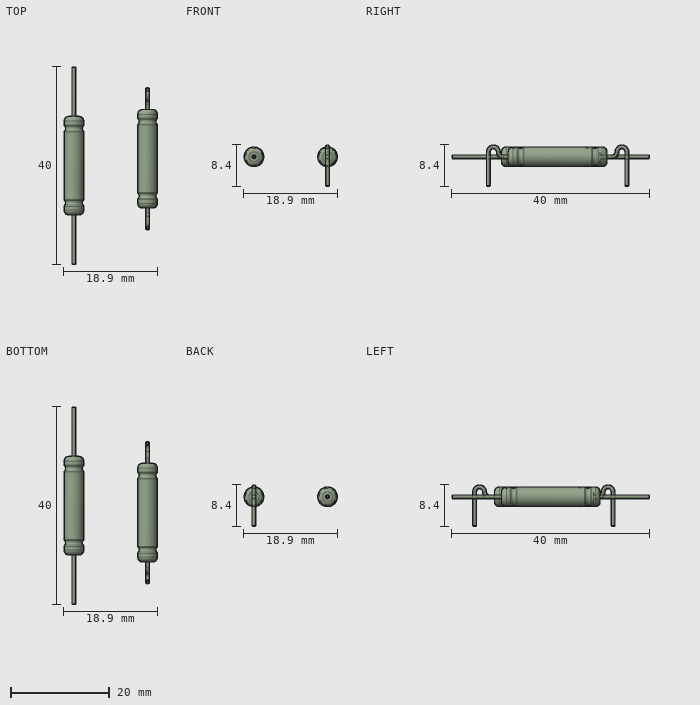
import cadquery as cq
import math

COMPONENT_SPACING = 14.9
BENT_OFFSET_Y = 1.4

BODY_LENGTH = 20.0
BODY_RADIUS = 2.0
END_ROUND = 1.0
GROOVE_FROM_END = 2.5
GROOVE_DEPTH = 0.3
GROOVE_HALF_WIDTH = 0.55
GROOVE_ROUND = 0.35
RIM_SEARCH_MARGIN = 0.05

WIRE_RADIUS = 0.4
TIP_CHAMFER = 0.15
STRAIGHT_LEAD_LENGTH = 10.0

BEND_RADIUS = 1.0
STUB_LENGTH = 1.0
LEG_BOTTOM_Z = -6.0

HALF_LENGTH = BODY_LENGTH / 2
ENDS = (1, -1)


def make_body():
    """Body of revolution about Y, centred on the origin."""
    groove_y = HALF_LENGTH - GROOVE_FROM_END
    groove_bottom = BODY_RADIUS - GROOVE_DEPTH
    cylinder = cq.Workplane("XZ").circle(BODY_RADIUS).extrude(HALF_LENGTH, both=True)
    body = cylinder.faces("<Y or >Y").edges().fillet(END_ROUND)
    for end in ENDS:
        groove = (
            cq.Workplane("XY")
            .moveTo(BODY_RADIUS, end * groove_y - GROOVE_HALF_WIDTH)
            .threePointArc(
                (groove_bottom, end * groove_y),
                (BODY_RADIUS, end * groove_y + GROOVE_HALF_WIDTH),
            )
            .close()
            .revolve(360, (0, 0, 0), (0, 1, 0))
        )
        body = body.cut(groove)
    for end in ENDS:
        for side in ENDS:
            rim_y = end * groove_y + side * GROOVE_HALF_WIDTH
            rim = cq.selectors.BoxSelector(
                (-2 * BODY_RADIUS, rim_y - RIM_SEARCH_MARGIN, -2 * BODY_RADIUS),
                (2 * BODY_RADIUS, rim_y + RIM_SEARCH_MARGIN, 2 * BODY_RADIUS),
                boundingbox=True,
            )
            body = body.edges(rim).fillet(GROOVE_ROUND)
    return body


def make_straight_lead(end):
    """Straight wire that leaves the body face along Y; end is +1 or -1."""
    wire = (
        cq.Workplane("XZ", origin=(0, HALF_LENGTH, 0))
        .circle(WIRE_RADIUS)
        .extrude(-STRAIGHT_LEAD_LENGTH)
        .faces(">Y")
        .chamfer(TIP_CHAMFER)
    )
    return wire if end > 0 else wire.mirror("XZ")


def make_bent_lead(end):
    """Wire with a stub, an upward bend, a loop and a leg; end is +1 or -1."""
    stub_end = HALF_LENGTH + STUB_LENGTH
    rise_y = stub_end + BEND_RADIUS
    loop_y = rise_y + BEND_RADIUS
    leg_y = loop_y + BEND_RADIUS
    corner = BEND_RADIUS * math.sqrt(0.5)
    path = (
        cq.Workplane("YZ")
        .moveTo(HALF_LENGTH, 0)
        .lineTo(stub_end, 0)
        .threePointArc((stub_end + corner, BEND_RADIUS - corner), (rise_y, BEND_RADIUS))
        .threePointArc((loop_y, 2 * BEND_RADIUS), (leg_y, BEND_RADIUS))
        .lineTo(leg_y, LEG_BOTTOM_Z)
    )
    wire = (
        cq.Workplane("XZ", origin=(0, HALF_LENGTH, 0))
        .circle(WIRE_RADIUS)
        .sweep(path)
        .faces("<Z")
        .chamfer(TIP_CHAMFER)
    )
    return wire if end > 0 else wire.mirror("XZ")


bent_place = (COMPONENT_SPACING, BENT_OFFSET_Y, 0)

straight_body = make_body()
bent_body = make_body().translate(bent_place)
straight_leads = [make_straight_lead(end) for end in ENDS]
bent_leads = [make_bent_lead(end).translate(bent_place) for end in ENDS]

result = cq.Compound.makeCompound([
    straight_body.val(),
    bent_body.val(),
    *[lead.val() for lead in straight_leads],
    *[lead.val() for lead in bent_leads],
])